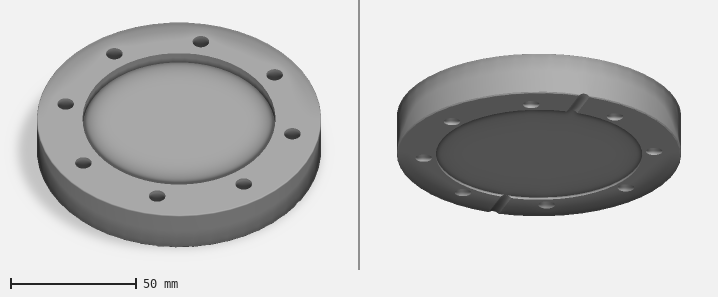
import cadquery as cq

flange_diameter = 113.5
flange_thickness = 17.5
edge_fillet = 0.5
bore_diameter = 77.0

bolt_count = 8
bolt_hole_diameter = 6.6
bolt_circle_diameter = 92.1
bolt_pitch_angle = 360.0 / bolt_count

groove_width = 4.4
groove_depth = 1.0
groove_radius = (groove_width**2 / 4 + groove_depth**2) / (2 * groove_depth)

recess_diameter = 82.4
recess_depth = groove_depth

disc_setback = 5.0
disc_thickness = flange_thickness - recess_depth - disc_setback


def make_flange():
    body = (
        cq.Workplane("XY")
        .circle(flange_diameter / 2)
        .extrude(flange_thickness)
        .edges()
        .fillet(edge_fillet)
    )
    bore = cq.Workplane("XY").circle(bore_diameter / 2).extrude(flange_thickness)
    recess = cq.Workplane("XY").circle(recess_diameter / 2).extrude(recess_depth)
    return body.cut(bore).cut(recess).cut(make_bolt_holes()).cut(make_groove())


def make_bolt_holes():
    return (
        cq.Workplane("XY")
        .polarArray(bolt_circle_diameter / 2, bolt_pitch_angle / 2, 360, bolt_count)
        .circle(bolt_hole_diameter / 2)
        .extrude(flange_thickness)
    )


def make_groove():
    """Cylinder across the whole flange; the open centre leaves a groove on each side."""
    return (
        cq.Workplane("YZ")
        .center(0, groove_depth - groove_radius)
        .circle(groove_radius)
        .extrude(flange_diameter / 2, both=True)
    )


def make_disc():
    return (
        cq.Workplane("XY")
        .workplane(offset=recess_depth)
        .circle(bore_diameter / 2)
        .extrude(disc_thickness)
    )


flange = make_flange()
disc = make_disc()

result = cq.Compound.makeCompound([flange.val(), disc.val()])